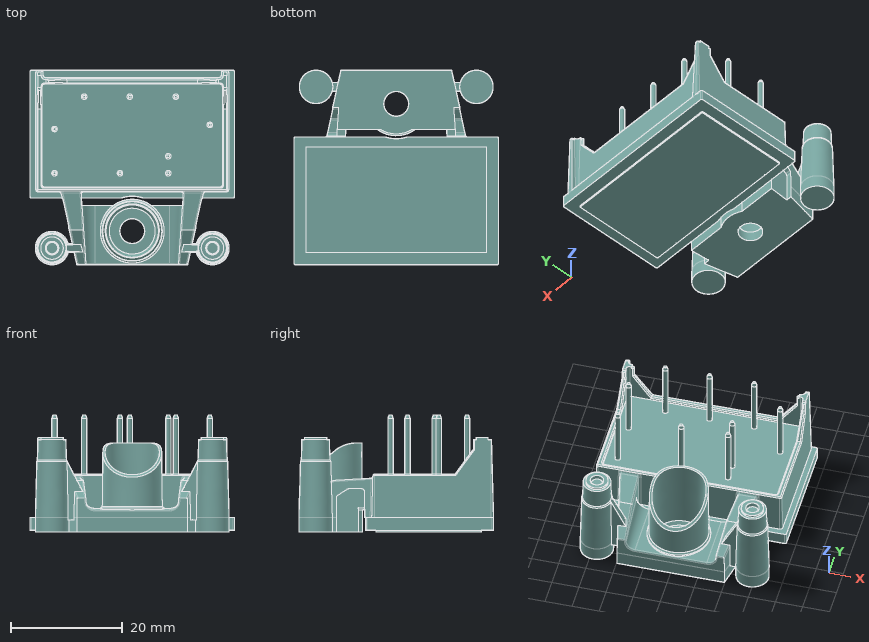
import cadquery as cq
import math

DRAFT = 1.5
OVERCUT = 3.65

FLANGE_WIDTH = 36.6
FLANGE_FRONT = 11.93
FLANGE_BACK = 34.85
FLANGE_BOTTOM = 0.33
FLANGE_TOP = 2.65
FLANGE_CORNER = 0.3
PAD_WIDTH = 32.2
PAD_FRONT = 13.8
PAD_BACK = 32.65

HOUSING_WIDTH = 34.55
HOUSING_FRONT = 13.03
RIM_TOP = 10.35
HOUSING_CORNER = 0.5
RIM_CHAMFER = 0.22
RIM_EDGE_MIN_LENGTH = 1.1
TRAY_FLOOR = 9.77
TRAY_WIDTH = 32.2
TRAY_FRONT = 13.95
TRAY_BACK = 32.3
TRAY_CORNER = 0.35
BACK_WALL_OUTER = 33.53
BACK_RECESS_WIDTH = 31.85

TOWER_TOP = 16.95
TOWER_SHOULDER = 16.55
TOWER_NECK = 14.85
SIDE_WEB_FOOT = 27.93
SIDE_WEB_NECK = 31.22
SIDE_CAP_FRONT = 31.7
SIDE_CAP_BACK = 33.85
BACK_WEB_FOOT = 11.7
BACK_WEB_NECK = 15.0
BACK_CAP_EDGE = 15.45

PIN_DIAMETER = 1.0
PIN_TIP_DIAMETER = 0.5
PIN_TOP = 20.97
PIN_SHOULDER = 20.35
PIN_POSITIONS = [
    (-8.6, 30.1), (-0.45, 30.1), (7.8, 30.1),
    (-13.9, 24.3), (13.87, 25.05), (6.45, 19.45),
    (-13.9, 16.4), (-2.2, 16.4), (6.45, 16.4),
]

POST_X = 14.35
POST_Y = 3.0
POST_BASE_RADIUS = 3.0
POST_WAIST_RADIUS = 2.75
POST_NECK_RADIUS = 2.6
POST_TOP_RADIUS = 2.5
POST_WAIST_Z = 12.6
POST_NECK_Z = 12.9
POST_COLLAR_RADIUS = 2.0
POST_HOLE_RADIUS = 1.2
POST_HOLE_DEPTH = 0.75
POST_HOLE_FLOOR_RADIUS = 1.02

BRACKET_FRONT_HALF = 9.92
BRACKET_SIDE_SLOPE = 0.22
BRACKET_BACK = HOUSING_FRONT + 0.75
BRACKET_DRAFT = 1.0
BRACKET_ROUNDING = 0.22
PLATE_FRONT_TOP = 4.0
PLATE_BACK_TOP = 4.32
PLATE_BACK = 10.65
CHANNEL_FRONT_HALF = 8.27
CHANNEL_SIDE_SLOPE = 0.067
CHANNEL_FLAT_HALF = 6.62
ARM_FRONT_Z = 6.08
ARM_FRONT_SLOPE = 0.51
ARM_KNEE_Y = 6.22
ARM_BACK_Z = 9.7
ARM_WALL = 1.57
ARM_ROOT_FILLET = 0.35
ARCH_FRONT = 6.7
ARCH_BACK = 11.75
ARCH_KNEE_Y = 8.8
ARCH_FRONT_Z = 6.4
ARCH_TOP = 7.75
ARCH_FILLET = 0.55

RIB_TOP_THICKNESS = 1.1
RIB_FOOT_THICKNESS = 1.6
RIB_BOTTOM = 2.2
RIB_INNER_X = 8.8
RIB_INNER_Z = 7.15

SNOUT_Y = 6.05
SNOUT_BASE_RADIUS = 5.38
SNOUT_TOP_RADIUS = 5.27
SNOUT_TOP = 15.95
SNOUT_BORE_TOP_RADIUS = 4.85
SNOUT_BORE_FLOOR_RADIUS = 4.7
SNOUT_BORE_CHAMFER = 0.6
SNOUT_FLOOR = 2.2
SNOUT_HOLE_RADIUS = 2.2
SNOUT_FOOT_RADIUS = 5.7
SNOUT_FOOT_TOP = 4.6
MOUTH_FRONT_Y = 0.65
MOUTH_FRONT_Z = 9.77
MOUTH_BEND_Y = 8.13
MOUTH_BEND_RADIUS = 6.05
FLANGE_SCALLOP_RADIUS = 6.22


def box(x_min, x_max, y_min, y_max, z_min, z_max):
    size = (x_max - x_min, y_max - y_min, z_max - z_min)
    return cq.Workplane("XY").box(*size, centered=False).translate((x_min, y_min, z_min))


def tapered_box(width, y_min, y_max, z_min, z_max, taper, corner):
    outline = cq.Sketch().rect(width, y_max - y_min).vertices().fillet(corner)
    base = cq.Workplane("XY").workplane(offset=z_min).center(0, (y_min + y_max) / 2)
    return base.placeSketch(outline).extrude(z_max - z_min, taper=taper)


def along_x(points, half_length):
    """Prism along X, centred on X = 0, from a Y-Z outline."""
    return cq.Workplane("YZ").polyline(points).close().extrude(half_length, both=True)


def turned(points, x, y):
    """Solid of revolution about a vertical axis, from a radius-height outline."""
    outline = cq.Workplane("XZ").polyline(points).close()
    return outline.revolve(360, (0, 0, 0), (0, 1, 0)).translate((x, y, 0))


def make_flange():
    half = FLANGE_WIDTH / 2
    flange = box(-half, half, FLANGE_FRONT, FLANGE_BACK, FLANGE_BOTTOM, FLANGE_TOP)
    flange = flange.edges("|Z").fillet(FLANGE_CORNER)
    scallop = cq.Workplane("XY").center(0, SNOUT_Y).circle(FLANGE_SCALLOP_RADIUS).extrude(FLANGE_TOP)
    pad = box(-PAD_WIDTH / 2, PAD_WIDTH / 2, PAD_FRONT, PAD_BACK, 0, FLANGE_TOP)
    return flange.cut(scallop).union(pad)


def make_housing():
    housing = tapered_box(
        HOUSING_WIDTH, HOUSING_FRONT, FLANGE_BACK, FLANGE_TOP, TOWER_TOP, DRAFT, HOUSING_CORNER
    )
    ceiling = TOWER_TOP + OVERCUT
    tray = tapered_box(TRAY_WIDTH, TRAY_FRONT, TRAY_BACK, TRAY_FLOOR, ceiling, -DRAFT, TRAY_CORNER)
    back_recess = tapered_box(
        BACK_RECESS_WIDTH, BACK_WALL_OUTER, FLANGE_BACK + OVERCUT, FLANGE_TOP, ceiling, -DRAFT, TRAY_CORNER
    )
    side_clearance = along_x(
        [
            (HOUSING_FRONT - OVERCUT, RIM_TOP),
            (SIDE_WEB_FOOT, RIM_TOP),
            (SIDE_WEB_NECK, TOWER_NECK),
            (SIDE_WEB_NECK, TOWER_SHOULDER),
            (SIDE_CAP_FRONT, TOWER_SHOULDER),
            (SIDE_CAP_FRONT, ceiling),
            (HOUSING_FRONT - OVERCUT, ceiling),
        ],
        HOUSING_WIDTH,
    )
    rear_shoulder = box(
        -HOUSING_WIDTH, HOUSING_WIDTH, SIDE_CAP_BACK, FLANGE_BACK, TOWER_SHOULDER, ceiling
    )
    half_outline = [
        (BACK_WEB_FOOT, RIM_TOP),
        (BACK_WEB_NECK, TOWER_NECK),
        (BACK_WEB_NECK, TOWER_SHOULDER),
        (BACK_CAP_EDGE, TOWER_SHOULDER),
        (BACK_CAP_EDGE, ceiling),
    ]
    mirrored = [(-x, z) for x, z in reversed(half_outline)]
    back_clearance = (
        cq.Workplane("XZ").polyline(half_outline + mirrored).close().extrude(-FLANGE_BACK - OVERCUT)
    )
    for cutter in (tray, back_recess, side_clearance, rear_shoulder, back_clearance):
        housing = housing.cut(cutter)

    def is_rim_edge(edge):
        lengthwise = edge.Length() > RIM_EDGE_MIN_LENGTH
        on_tray_corner = edge.BoundingBox().zmin < RIM_TOP - 0.05
        return lengthwise and not on_tray_corner and edge.Center().z < TOWER_SHOULDER - 0.05

    return housing.edges().filter(is_rim_edge).chamfer(RIM_CHAMFER)


def make_pin(x, y):
    outline = [
        (0, TRAY_FLOOR - 0.35),
        (PIN_DIAMETER / 2, TRAY_FLOOR - 0.35),
        (PIN_DIAMETER / 2, PIN_SHOULDER),
        (PIN_TIP_DIAMETER / 2, PIN_TOP),
        (0, PIN_TOP),
    ]
    return turned(outline, x, y)


def side_half(y):
    """Half width of the bracket at depth y."""
    return BRACKET_FRONT_HALF + BRACKET_SIDE_SLOPE * y


def channel_half(y):
    """Half width of the channel between the arms at depth y."""
    return CHANNEL_FRONT_HALF + CHANNEL_SIDE_SLOPE * y


def symmetric_outline(half_width, y_min, y_max):
    """Trapezoid whose half width is a function of depth."""
    return [
        (-half_width(y_min), y_min),
        (half_width(y_min), y_min),
        (half_width(y_max), y_max),
        (-half_width(y_max), y_max),
    ]


def make_channel():
    """U-shaped trough whose sides spread and whose floor rises towards the housing."""
    ceiling = ARM_BACK_Z + OVERCUT

    def profile(workplane, y, floor):
        half = channel_half(y)
        radius = half - CHANNEL_FLAT_HALF
        reach = radius * math.sqrt(0.5)
        side = CHANNEL_FLAT_HALF + reach
        middle_z = floor + radius - reach
        return (
            workplane.moveTo(-half, ceiling)
            .lineTo(-half, floor + radius)
            .threePointArc((-side, middle_z), (-CHANNEL_FLAT_HALF, floor))
            .lineTo(CHANNEL_FLAT_HALF, floor)
            .threePointArc((side, middle_z), (half, floor + radius))
            .lineTo(half, ceiling)
            .close()
        )

    front = profile(cq.Workplane("XZ"), 0, PLATE_FRONT_TOP)
    return profile(front.workplane(offset=-BRACKET_BACK), BRACKET_BACK, PLATE_BACK_TOP).loft(ruled=True)


def make_bracket():
    def is_exposed_top_edge(edge):
        """Front lip of the trough and arms, and the long edges along the arm tops."""
        extent = edge.BoundingBox()
        on_front_lip = extent.ymax < 0.35 and extent.zmin > FLANGE_TOP + 0.35
        along_arm_top = extent.ylen > 0.35 and extent.zmin > ARM_FRONT_Z - 0.35
        return on_front_lip or along_arm_top

    footprint = symmetric_outline(side_half, 0, BRACKET_BACK)
    lower = cq.Workplane("XY").polyline(footprint).close().extrude(FLANGE_TOP)
    upper_base = cq.Workplane("XY").workplane(offset=FLANGE_TOP)
    upper = upper_base.polyline(footprint).close().extrude(ARM_BACK_Z - FLANGE_TOP, taper=BRACKET_DRAFT)
    sky = along_x(
        [
            (-OVERCUT, ARM_FRONT_Z - OVERCUT * ARM_FRONT_SLOPE),
            (ARM_KNEE_Y, ARM_FRONT_Z + ARM_KNEE_Y * ARM_FRONT_SLOPE),
            (BRACKET_BACK, ARM_BACK_Z),
            (BRACKET_BACK, ARM_BACK_Z + OVERCUT),
            (-OVERCUT, ARM_BACK_Z + OVERCUT),
        ],
        FLANGE_WIDTH,
    )
    upper = upper.cut(sky).cut(make_channel())
    upper = upper.edges().filter(is_exposed_top_edge).fillet(BRACKET_ROUNDING)
    bracket = lower.union(upper)

    gap_outline = symmetric_outline(channel_half, PLATE_BACK, BRACKET_BACK)
    gap = cq.Workplane("XY").polyline(gap_outline).close().extrude(ARM_BACK_Z)
    below_wall = box(-FLANGE_WIDTH, FLANGE_WIDTH, PLATE_BACK, ARCH_BACK, 0, PLATE_BACK_TOP)
    below_arm_root = box(-FLANGE_WIDTH, FLANGE_WIDTH, ARCH_BACK, BRACKET_BACK, 0, FLANGE_TOP)
    for cutter in (gap, make_arches(), below_wall, below_arm_root):
        bracket = bracket.cut(cutter)
    return bracket


def make_arches():
    """Arched pockets open to the outside and below, leaving the inner wall of each arm."""
    arch = along_x(
        [
            (ARCH_FRONT, 0),
            (ARCH_FRONT, ARCH_FRONT_Z),
            (ARCH_KNEE_Y, ARCH_TOP),
            (ARCH_BACK, ARCH_TOP),
            (ARCH_BACK, 0),
        ],
        FLANGE_WIDTH,
    )
    arch = arch.edges("|X").edges("not(<Z)").fillet(ARCH_FILLET)
    core_outline = symmetric_outline(lambda y: channel_half(y) + ARM_WALL, 0, BRACKET_BACK)
    core = cq.Workplane("XY").polyline(core_outline).close().extrude(ARM_BACK_Z)
    return arch.cut(core)


def make_post():
    outline = [
        (0, 0),
        (POST_BASE_RADIUS, 0),
        (POST_BASE_RADIUS, FLANGE_TOP),
        (POST_WAIST_RADIUS, POST_WAIST_Z),
        (POST_NECK_RADIUS, POST_NECK_Z),
        (POST_TOP_RADIUS, TOWER_SHOULDER),
        (POST_COLLAR_RADIUS, TOWER_SHOULDER),
        (POST_COLLAR_RADIUS, TOWER_TOP),
        (POST_HOLE_RADIUS, TOWER_TOP),
        (POST_HOLE_FLOOR_RADIUS, TOWER_TOP - POST_HOLE_DEPTH),
        (0, TOWER_TOP - POST_HOLE_DEPTH),
    ]
    return turned(outline, -POST_X, POST_Y)


def make_rib():
    leg_x = BRACKET_FRONT_HALF
    outline = [
        (-POST_X, RIB_BOTTOM),
        (-leg_x, RIB_BOTTOM),
        (-RIB_INNER_X, RIB_INNER_Z),
        (-POST_X + POST_NECK_RADIUS, POST_NECK_Z),
        (-POST_X, POST_NECK_Z),
    ]
    rib = cq.Workplane("XZ").polyline(outline).close().extrude(RIB_FOOT_THICKNESS / 2, both=True)
    section = [
        (-RIB_FOOT_THICKNESS / 2, RIB_BOTTOM),
        (RIB_FOOT_THICKNESS / 2, RIB_BOTTOM),
        (RIB_TOP_THICKNESS / 2, POST_NECK_Z),
        (-RIB_TOP_THICKNESS / 2, POST_NECK_Z),
    ]
    rib = rib.intersect(along_x(section, FLANGE_WIDTH))
    rib = rib.translate((0, POST_Y, 0))
    core = cq.Workplane("XY").center(-POST_X, POST_Y).circle(POST_COLLAR_RADIUS).extrude(PIN_TOP)
    return rib.cut(core)


def make_snout():
    outline = [
        (0, 0),
        (SNOUT_BASE_RADIUS, 0),
        (SNOUT_BASE_RADIUS, PLATE_BACK_TOP),
        (SNOUT_TOP_RADIUS, SNOUT_TOP),
        (0, SNOUT_TOP),
    ]
    mouth = along_x(
        [
            (MOUTH_FRONT_Y, MOUTH_FRONT_Z),
            (MOUTH_BEND_Y, SNOUT_TOP),
            (FLANGE_BACK, SNOUT_TOP),
            (FLANGE_BACK, SNOUT_TOP + OVERCUT),
            (MOUTH_FRONT_Y, SNOUT_TOP + OVERCUT),
        ],
        FLANGE_WIDTH,
    )
    bend = cq.selectors.NearestToPointSelector((0, MOUTH_BEND_Y, SNOUT_TOP))
    mouth = mouth.edges("|X").edges(bend).fillet(MOUTH_BEND_RADIUS)
    flare_outline = [
        (0, PLATE_FRONT_TOP),
        (SNOUT_FOOT_RADIUS, PLATE_FRONT_TOP),
        (SNOUT_FOOT_RADIUS, PLATE_BACK_TOP),
        (SNOUT_BASE_RADIUS, SNOUT_FOOT_TOP),
        (0, SNOUT_FOOT_TOP),
    ]
    flare = turned(flare_outline, 0, SNOUT_Y)
    return turned(outline, 0, SNOUT_Y).cut(mouth).union(flare)


def make_snout_bore():
    outline = [
        (0, 0),
        (SNOUT_HOLE_RADIUS, 0),
        (SNOUT_HOLE_RADIUS, SNOUT_FLOOR),
        (SNOUT_BORE_FLOOR_RADIUS - SNOUT_BORE_CHAMFER, SNOUT_FLOOR),
        (SNOUT_BORE_FLOOR_RADIUS, SNOUT_FLOOR + SNOUT_BORE_CHAMFER),
        (SNOUT_BORE_TOP_RADIUS, SNOUT_TOP),
        (0, SNOUT_TOP),
    ]
    return turned(outline, 0, SNOUT_Y)


post_with_rib = make_post().union(make_rib())
result = make_flange().union(make_housing()).union(make_bracket()).union(make_snout())
result = result.cut(make_snout_bore())
result = result.union(post_with_rib).union(post_with_rib.mirror("YZ"))

for side in (-1, 1):
    root_x = side * side_half(HOUSING_FRONT)
    root = cq.selectors.NearestToPointSelector((root_x, HOUSING_FRONT, (FLANGE_TOP + ARM_BACK_Z) / 2))
    result = result.edges(root).fillet(ARM_ROOT_FILLET)

for pin_x, pin_y in PIN_POSITIONS:
    result = result.union(make_pin(pin_x, pin_y))